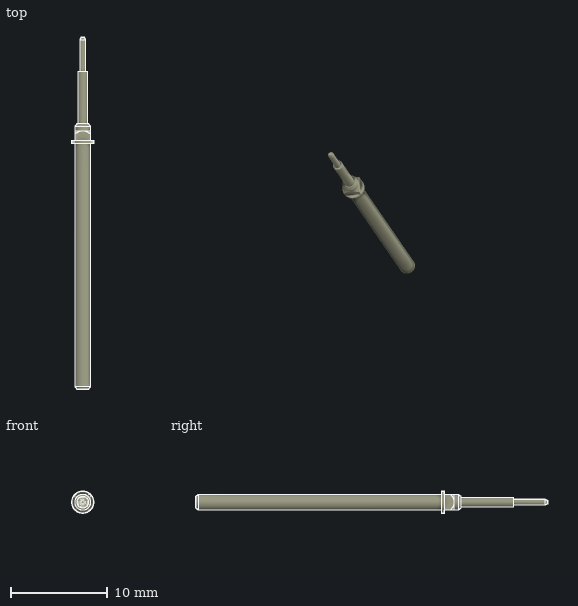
import cadquery as cq

length = 36.5
tip_y = length / 2

pin_radius = 0.62 / 2
shaft_radius = 0.5
barrel_radius = 0.82
flange_radius = 2.3 / 2

shaft_start = 3.55
collar_start = 8.98
square_start = 9.7
flange_start = 10.73
flange_thickness = 0.3

tip_chamfer_length = 0.3
tip_chamfer_inset = 0.15
collar_chamfer_length = 0.3
collar_chamfer_inset = 0.22
barrel_chamfer_length = 0.3
barrel_chamfer_inset = 0.22


def turned_section(start, section_length, radius):
    """Cylinder on the Y axis, running from `start` behind the tip toward -Y."""
    plane = cq.Workplane("XZ", origin=(0, tip_y - start, 0))
    return plane.circle(radius).extrude(section_length)


def make_pin():
    pin = turned_section(0, shaft_start, pin_radius)
    return pin.faces(">Y").chamfer(tip_chamfer_length, tip_chamfer_inset)


def make_shaft():
    return turned_section(shaft_start, collar_start - shaft_start, shaft_radius)


def make_collar():
    collar = turned_section(collar_start, square_start - collar_start, barrel_radius)
    return collar.faces(">Y").chamfer(collar_chamfer_length, collar_chamfer_inset)


def make_square():
    """Square wrench section whose corners are turned down by a 45 degree cone."""
    square_length = flange_start - square_start
    side = 2 * barrel_radius
    square = (
        cq.Workplane("XZ", origin=(0, tip_y - square_start, 0))
        .rect(side, side)
        .extrude(square_length)
    )
    envelope = turned_section(square_start, square_length, flange_radius)
    envelope = envelope.faces(">Y").chamfer(flange_radius - barrel_radius)
    return square.intersect(envelope)


def make_flange():
    return turned_section(flange_start, flange_thickness, flange_radius)


def make_barrel():
    barrel_start = flange_start + flange_thickness
    barrel = turned_section(barrel_start, length - barrel_start, barrel_radius)
    return barrel.faces("<Y").chamfer(barrel_chamfer_length, barrel_chamfer_inset)


result = (
    make_pin()
    .union(make_shaft())
    .union(make_collar())
    .union(make_square())
    .union(make_flange())
    .union(make_barrel())
)